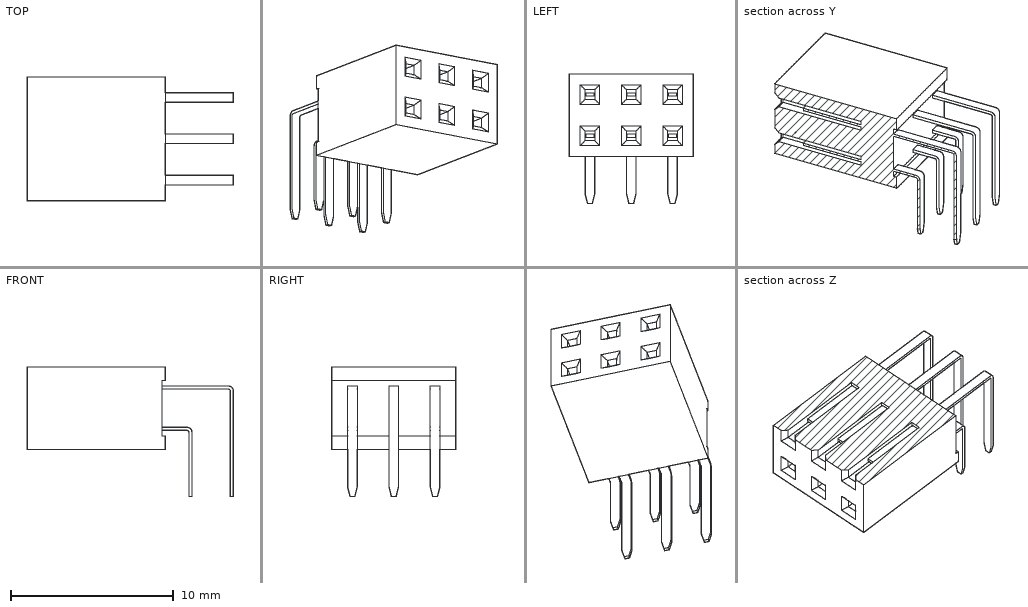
import cadquery as cq


PITCH = 2.54
COLUMNS = 3
ROWS = 2

BODY_LENGTH = 8.5
BODY_WIDTH = COLUMNS * PITCH
BODY_HEIGHT = ROWS * PITCH
RECESS_DEPTH = 0.2
RECESS_HEIGHT = 3.4

SOCKET_SIZE = 0.6
LEAD_IN_DEPTH = 0.3
LEAD_IN_SIZE = SOCKET_SIZE + 2 * LEAD_IN_DEPTH
SOCKET_DEPTH = 6.0

PIN_WIDTH = 0.6
PIN_THICKNESS = 0.2
BEND_INNER_RADIUS = 0.1
BEND_OUTER_RADIUS = BEND_INNER_RADIUS + PIN_THICKNESS
OVERALL_LENGTH = 12.67
PIN_DROP = 2.9
TIP_LENGTH = 0.6
TIP_WIDTH = 0.3

CONTACT_WIDTH = 0.5
CONTACT_START = 2.0

COLUMN_YS = [(column - (COLUMNS - 1) / 2) * PITCH for column in range(COLUMNS)]
ROW_ZS = [(row + 0.5) * PITCH for row in range(ROWS)]


def make_housing():
    """Rectangular block with a shallow channel across its rear face."""
    block = cq.Workplane("XY").box(
        BODY_LENGTH, BODY_WIDTH, BODY_HEIGHT, centered=(False, True, False)
    )
    recess = (
        cq.Workplane("XY")
        .box(RECESS_DEPTH, BODY_WIDTH, RECESS_HEIGHT, centered=(False, True, True))
        .translate((BODY_LENGTH - RECESS_DEPTH, 0, BODY_HEIGHT / 2))
    )
    return block.cut(recess)


def make_socket(y, z):
    """Square blind hole with a pyramidal lead-in, opening at the mating face."""
    mouth = cq.Workplane("YZ", origin=(0, y, z))
    lead_in = (
        mouth.rect(LEAD_IN_SIZE, LEAD_IN_SIZE)
        .workplane(offset=LEAD_IN_DEPTH)
        .rect(SOCKET_SIZE, SOCKET_SIZE)
        .loft(ruled=True)
    )
    bore = mouth.rect(SOCKET_SIZE, SOCKET_SIZE).extrude(SOCKET_DEPTH)
    return lead_in.union(bore)


def make_pin(y, z, outer_x):
    """Flat strip running back from the socket floor and bent down to a tapered tip."""
    strip_length = outer_x - SOCKET_DEPTH
    top_z = z + PIN_THICKNESS / 2
    strip_height = top_z + PIN_DROP
    inner_length = strip_length - PIN_THICKNESS
    inner_height = strip_height - PIN_THICKNESS
    outer = (
        cq.Workplane("XY")
        .box(strip_length, PIN_WIDTH, strip_height, centered=(False, True, False))
        .edges("|Y and >X and >Z")
        .fillet(BEND_OUTER_RADIUS)
    )
    inner = (
        cq.Workplane("XY")
        .box(inner_length, PIN_WIDTH, inner_height, centered=(False, True, False))
        .edges("|Y and >X and >Z")
        .fillet(BEND_INNER_RADIUS)
    )
    face_outline = (
        cq.Workplane("YZ")
        .moveTo(-TIP_WIDTH / 2, 0)
        .lineTo(TIP_WIDTH / 2, 0)
        .lineTo(PIN_WIDTH / 2, TIP_LENGTH)
        .lineTo(PIN_WIDTH / 2, strip_height)
        .lineTo(-PIN_WIDTH / 2, strip_height)
        .lineTo(-PIN_WIDTH / 2, TIP_LENGTH)
        .close()
        .extrude(strip_length)
    )
    return outer.cut(inner).intersect(face_outline).translate((SOCKET_DEPTH, y, -PIN_DROP))


def make_contact(y, z):
    """Narrow flat tongue projecting forward from the socket floor."""
    return (
        cq.Workplane("YZ", origin=(CONTACT_START, y, z))
        .rect(CONTACT_WIDTH, PIN_THICKNESS)
        .extrude(SOCKET_DEPTH - CONTACT_START)
    )


def make_header():
    """Housing with every socket cut and every pin fitted."""
    header = make_housing()
    for y in COLUMN_YS:
        for z in ROW_ZS:
            header = header.cut(make_socket(y, z))
    for y in COLUMN_YS:
        for row, z in enumerate(ROW_ZS):
            outer_x = OVERALL_LENGTH - (ROWS - 1 - row) * PITCH
            header = header.union(make_pin(y, z, outer_x))
            header = header.union(make_contact(y, z))
    return header


result = make_header()